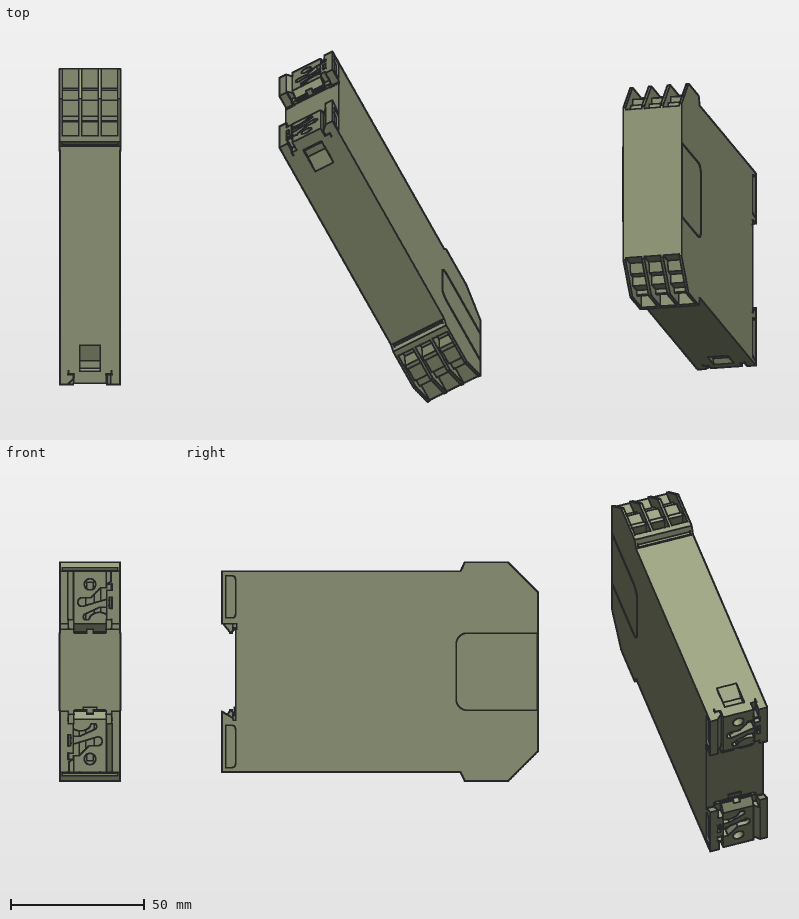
import cadquery as cq
import math

LABEL_WIDTH = 22.86
BODY_WIDTH = 22.5
DEPTH = 118.33
HEIGHT = 81.96
BACK_Y = DEPTH / 2
RAIL_Y = -DEPTH / 2
TOP_Z = HEIGHT / 2
HALF_BODY = BODY_WIDTH / 2

BODY_TOP_Z = 37.6
HEAD_FOOT_Y = 30.1
HEAD_TOP_Y = 31.7
HEAD_CHAMFER = 11.2

CHANNEL_Y = -54.1
UPPER_JAW_Z = 17.9
UPPER_JAW_NOTCH_Z = 15.9
UPPER_JAW_NOTCH_Y = -53.7
LOWER_LIP_Z = -14.9
LOWER_JAW_Z = -17.5
LOWER_JAW_Y = -54.9
LOWER_JAW_STEP = 0.6

LABEL_HEIGHT = 28.9
LABEL_FRONT_Y = 28.5
LABEL_BACK_Y = 58.9
LABEL_CORNER = 4.2

CELL_WIDTH = 6.2
CELL_PITCH = 7.25
CELL_FRONT_Y = 34.1
CELL_FLOOR_Z = 29.0
LEDGE_FRONT_Y = 47.3
LEDGE_BACK_Y = 51.1
LEDGE_FOOT_Y = 51.9
LEDGE_Z = 33.0
BRIDGE_FRONT_Y = 39.3
BRIDGE_SLOPE_Y = 39.7
BRIDGE_BACK_Y = 41.3
BRIDGE_Z = 38.2
VALLEY_Z = 36.5

SLIT_WIDTH = 20.6
SLIT_BOTTOM_Z = 37.95
SLIT_TOP_Z = 38.9
SLIT_DEPTH_Y = 32.2

POCKET_WIDTH = 7.7
POCKET_BACK_Y = -44.4
POCKET_SLOPE_END_Y = -50.2
POCKET_FLOOR_END_Y = -53.0
POCKET_FRONT_Y = -54.1
POCKET_DEPTH = 2.0

GRIP_BACK_Y = -54.1
GRIP_FRONT_Y = -57.8
GRIP_BOTTOM_Z = 20.1
GRIP_TOP_Z = 35.9
GRIP_CORNER = 1.3
GRIP_DEPTH = 1.0

FOOT_HALF = 6.0
FOOT_FACE_Y = -58.7
GAP_OUTER_X = 8.4
GAP_FLOOR_Y = -55.4
SLIT_GAP = 0.3
FOOT_SLIT = 0.2
FOOT_SLIT_END_Y = -53.9
GAP_END_Z = 19.5
FOOT_TIP_Z = 14.3
FOOT_NOSE_Z = 14.9
FOOT_NOSE_FRONT_Y = -56.3
FOOT_NOSE_BACK_Y = -55.4
FOOT_ROOT_Y = -54.3
FOOT_ROOT_Z = 16.0
TIP_NOTCH_WIDTH = 2.4
TIP_NOTCH_TOP_Z = 15.8
TIP_CORNER = 0.4
SHOULDER_HALF = 8.2
SHOULDER_Y = -55.2
SHOULDER_CORNER = 0.6

HOLE_Z = 32.7
HOLE_RADIUS = 2.1
HOLE_DEPTH = 4.0
KEY_WIDTH = 2.4
KEY_DEPTH = 1.0
KEY_TOP_Z = 33.4
SLOT_DEPTH = 3.5
SLOT_STEP = 0.5
SLOT_STEP_XS = (-FOOT_HALF, -1.6, 1.6, 4.1)
BIG_END_X = -2.9
BIG_END_Z = 26.05
BIG_END_RADIUS = 1.65
BIG_FLARE_START_X = 0.3
BIG_FLARE_END_X = 4.1
BIG_MOUTH_TOP_Z = 31.5
BIG_MOUTH_BOTTOM_Z = 27.1
SMALL_END_X = -1.3
SMALL_END_Z = 20.5
SMALL_END_RADIUS = 1.2
SMALL_BEND_X = 3.6
SMALL_BEND_TOP_Z = 24.1
SMALL_BEND_BOTTOM_Z = 22.2
SMALL_MOUTH_BOTTOM_Z = 21.4
SLOT_MOUTH_X = 6.2
LOBE_RADIUS = 1.0
UPPER_SEAT = (SLOT_MOUTH_X, 30.5, 32.8)
LOWER_SEAT = (7.2, 23.7, 27.8)
RELIEF_X = 7.8
RELIEF_Z = 33.8
RELIEF_TIP_Z = 32.5

TAB_WIDTH = 4.9
TAB_BOTTOM_Z = -15.5
TAB_TOP_Z = -13.4
TAB_Y = -54.5


def box(x0, x1, y0, y1, z0, z1):
    """Box between two opposite corners."""
    return cq.Workplane("XY").box(x1 - x0, y1 - y0, z1 - z0, centered=False).translate((x0, y0, z0))


def side_prism(points, width):
    """Closed (Y, Z) outline extruded symmetrically about X = 0."""
    return cq.Workplane("YZ").polyline(points).close().extrude(width / 2, both=True)


def foot_face():
    """Sketch plane on the foot face, local axes along +X and +Z; negative extrusion cuts inward."""
    return cq.Workplane("XZ", origin=(0, FOOT_FACE_Y, 0))


def half_turn(shape):
    """Turn a feature from the upper half to the lower half."""
    return shape.rotate((0, 0, 0), (0, 1, 0), 180)


def housing():
    head_side_z = TOP_Z - HEAD_CHAMFER
    chamfer_y = BACK_Y - HEAD_CHAMFER
    outline = [
        (RAIL_Y, BODY_TOP_Z),
        (HEAD_FOOT_Y, BODY_TOP_Z),
        (HEAD_TOP_Y, TOP_Z),
        (chamfer_y, TOP_Z),
        (BACK_Y, head_side_z),
        (BACK_Y, -head_side_z),
        (chamfer_y, -TOP_Z),
        (HEAD_TOP_Y, -TOP_Z),
        (HEAD_FOOT_Y, -BODY_TOP_Z),
        (RAIL_Y, -BODY_TOP_Z),
        (RAIL_Y, LOWER_LIP_Z),
        (LOWER_JAW_Y, LOWER_JAW_Z),
        (LOWER_JAW_Y, LOWER_JAW_Z - LOWER_JAW_STEP),
        (CHANNEL_Y, LOWER_JAW_Z - LOWER_JAW_STEP),
        (CHANNEL_Y, UPPER_JAW_NOTCH_Z),
        (UPPER_JAW_NOTCH_Y, UPPER_JAW_NOTCH_Z),
        (UPPER_JAW_NOTCH_Y, UPPER_JAW_Z),
        (RAIL_Y, UPPER_JAW_Z),
    ]
    return side_prism(outline, BODY_WIDTH)


def label_plates():
    half = LABEL_HEIGHT / 2
    plate = box(-LABEL_WIDTH / 2, LABEL_WIDTH / 2, LABEL_FRONT_Y, LABEL_BACK_Y, -half, half)
    return plate.edges("|X and <Y").fillet(LABEL_CORNER)


def terminal_cell():
    """Cell void: stepped floor with a ledge and a clamp bridge, open upward and backward."""
    floor = [
        (CELL_FRONT_Y, TOP_Z),
        (CELL_FRONT_Y, CELL_FLOOR_Z),
        (BRIDGE_FRONT_Y, CELL_FLOOR_Z),
        (BRIDGE_SLOPE_Y, BRIDGE_Z),
        (BRIDGE_BACK_Y, BRIDGE_Z),
        (BRIDGE_BACK_Y, VALLEY_Z),
        (LEDGE_FRONT_Y, VALLEY_Z),
        (LEDGE_FRONT_Y, LEDGE_Z),
        (LEDGE_BACK_Y, LEDGE_Z),
        (LEDGE_FOOT_Y, CELL_FLOOR_Z),
        (BACK_Y, CELL_FLOOR_Z),
        (BACK_Y, TOP_Z),
    ]
    return side_prism(floor, CELL_WIDTH)


def head_cuts():
    half = SLIT_WIDTH / 2
    cuts = box(-half, half, HEAD_FOOT_Y, SLIT_DEPTH_Y, SLIT_BOTTOM_Z, SLIT_TOP_Z)
    for column in (-1, 0, 1):
        cuts = cuts.add(terminal_cell().translate((column * CELL_PITCH, 0, 0)))
    return cuts.combine()


def release_pocket():
    floor_z = BODY_TOP_Z - POCKET_DEPTH
    outline = [
        (POCKET_BACK_Y, BODY_TOP_Z),
        (POCKET_SLOPE_END_Y, floor_z),
        (POCKET_FLOOR_END_Y, floor_z),
        (POCKET_FRONT_Y, BODY_TOP_Z),
    ]
    return side_prism(outline, POCKET_WIDTH)


def grip_recesses():
    cuts = cq.Workplane("XY")
    for inner_x in (-HALF_BODY, HALF_BODY - GRIP_DEPTH):
        recess = box(inner_x, inner_x + GRIP_DEPTH, GRIP_FRONT_Y, GRIP_BACK_Y, GRIP_BOTTOM_Z, GRIP_TOP_Z)
        cuts = cuts.add(recess.edges("|X and >Y").fillet(GRIP_CORNER))
    return cuts.combine()


def foot_nose():
    """Hook below the foot face with its notched tip, and the shoulder plate behind it."""
    outline = [
        (FOOT_FACE_Y, UPPER_JAW_Z),
        (FOOT_NOSE_FRONT_Y, FOOT_NOSE_Z),
        (FOOT_NOSE_FRONT_Y, FOOT_TIP_Z),
        (FOOT_NOSE_BACK_Y, FOOT_TIP_Z),
        (FOOT_NOSE_BACK_Y, FOOT_NOSE_Z),
        (FOOT_ROOT_Y, FOOT_ROOT_Z),
        (FOOT_ROOT_Y, GAP_END_Z),
        (FOOT_FACE_Y, GAP_END_Z),
    ]
    nose = side_prism(outline, 2 * FOOT_HALF).edges("|Y and <Z").chamfer(TIP_CORNER)
    half_notch = TIP_NOTCH_WIDTH / 2
    nose = nose.cut(box(-half_notch, half_notch, FOOT_FACE_Y, FOOT_ROOT_Y, FOOT_TIP_Z, TIP_NOTCH_TOP_Z))
    shoulder = box(-SHOULDER_HALF, SHOULDER_HALF, SHOULDER_Y, UPPER_JAW_NOTCH_Y, UPPER_JAW_NOTCH_Z, GAP_END_Z)
    shoulder = shoulder.edges("|Y and <Z").chamfer(SHOULDER_CORNER)
    return nose.union(shoulder)


def big_slot():
    """Wide spring slot: round end, flaring upward toward its mouth at the foot edge."""
    end_top_z = BIG_END_Z + BIG_END_RADIUS
    return (
        foot_face()
        .moveTo(BIG_END_X, end_top_z)
        .lineTo(BIG_FLARE_START_X, end_top_z)
        .lineTo(BIG_FLARE_END_X, BIG_MOUTH_TOP_Z)
        .lineTo(SLOT_MOUTH_X, BIG_MOUTH_TOP_Z)
        .lineTo(SLOT_MOUTH_X, BIG_MOUTH_BOTTOM_Z)
        .lineTo(BIG_END_X, BIG_END_Z - BIG_END_RADIUS)
        .threePointArc((BIG_END_X - BIG_END_RADIUS, BIG_END_Z), (BIG_END_X, end_top_z))
        .close()
        .extrude(-SLOT_DEPTH)
    )


def small_slot():
    """Narrow spring slot: bulb end, rising neck and a mouth at the foot edge."""
    bulb = foot_face().center(SMALL_END_X, SMALL_END_Z).circle(SMALL_END_RADIUS).extrude(-SLOT_DEPTH)
    neck = (
        foot_face()
        .moveTo(SMALL_END_X - SMALL_END_RADIUS / 2, SMALL_END_Z + SMALL_END_RADIUS * math.sqrt(3) / 2)
        .lineTo(SMALL_BEND_X, SMALL_BEND_TOP_Z)
        .lineTo(SLOT_MOUTH_X, SMALL_BEND_TOP_Z)
        .lineTo(SLOT_MOUTH_X, SMALL_MOUTH_BOTTOM_Z)
        .threePointArc((SMALL_BEND_X, SMALL_BEND_BOTTOM_Z), (SMALL_END_X + SMALL_END_RADIUS, SMALL_END_Z))
        .close()
        .extrude(-SLOT_DEPTH)
    )
    return bulb.union(neck)


def spring_slots():
    """Both spring slots, their shared floor stepping deeper toward the mouth."""
    steps = cq.Workplane("XY")
    for level, start_x in enumerate(SLOT_STEP_XS):
        floor_y = FOOT_FACE_Y + SLOT_DEPTH - (len(SLOT_STEP_XS) - 1 - level) * SLOT_STEP
        steps = steps.add(box(start_x, SLOT_MOUTH_X, FOOT_FACE_Y, floor_y, 0, BODY_TOP_Z))
    return big_slot().union(small_slot()).intersect(steps.combine())


def screw_hole():
    """Round hole with a deeper flat-sided pocket in its floor."""
    floor_y = FOOT_FACE_Y + HOLE_DEPTH
    key = box(
        -KEY_WIDTH / 2,
        KEY_WIDTH / 2,
        floor_y,
        floor_y + KEY_DEPTH,
        HOLE_Z - HOLE_RADIUS,
        KEY_TOP_Z,
    )
    center = foot_face().center(0, HOLE_Z)
    hole = center.circle(HOLE_RADIUS).extrude(-HOLE_DEPTH)
    deep_bore = center.circle(HOLE_RADIUS).extrude(-HOLE_DEPTH - KEY_DEPTH)
    return hole.union(deep_bore.intersect(key))


def clip_seats():
    """Two rectangular seats at the wall, the lower one with a rounded inner lobe."""
    cuts = cq.Workplane("XY")
    for inner_x, bottom_z, top_z in (UPPER_SEAT, LOWER_SEAT):
        cuts = cuts.add(box(inner_x, GAP_OUTER_X, RAIL_Y, GAP_FLOOR_Y, bottom_z, top_z))
    lobe_x, bottom_z, top_z = LOWER_SEAT
    lobe_center = foot_face().center(lobe_x, (bottom_z + top_z) / 2)
    lobe = lobe_center.circle(LOBE_RADIUS).extrude(FOOT_FACE_Y - GAP_FLOOR_Y)
    return cuts.combine().union(lobe)


def open_relief():
    """Relief between the foot and the far wall, open at the end face and tapering to a point."""
    outline = [
        (FOOT_HALF, BODY_TOP_Z),
        (RELIEF_X, BODY_TOP_Z),
        (RELIEF_X, RELIEF_Z),
        (FOOT_HALF, RELIEF_TIP_Z),
    ]
    relief = cq.Workplane("XZ", origin=(0, RAIL_Y, 0)).polyline(outline).close()
    return relief.extrude(RAIL_Y - GAP_FLOOR_Y)


def foot_gap():
    """Gap between the foot and the near wall, whose inner edge slopes down to a narrow slit."""
    slit_x = -FOOT_HALF - SLIT_GAP
    slope_y = RAIL_Y + GAP_OUTER_X + slit_x
    outline = [
        (-GAP_OUTER_X, RAIL_Y),
        (slit_x, slope_y),
        (slit_x, GAP_FLOOR_Y),
        (-FOOT_HALF, GAP_FLOOR_Y),
        (-FOOT_HALF, RAIL_Y),
    ]
    gap = cq.Workplane("XY", origin=(0, 0, GAP_END_Z)).polyline(outline).close()
    return gap.extrude(BODY_TOP_Z - GAP_END_Z)


def foot_slits():
    """L-shaped slits that part the foot from the housing on both sides."""
    cuts = cq.Workplane("XY")
    for side in (-1, 1):
        outline = [
            (side * FOOT_HALF, GAP_FLOOR_Y),
            (side * SHOULDER_HALF, GAP_FLOOR_Y),
            (side * SHOULDER_HALF, FOOT_SLIT_END_Y),
            (side * (SHOULDER_HALF - FOOT_SLIT), FOOT_SLIT_END_Y),
            (side * (SHOULDER_HALF - FOOT_SLIT), GAP_FLOOR_Y + FOOT_SLIT),
            (side * FOOT_HALF, GAP_FLOOR_Y + FOOT_SLIT),
        ]
        slit = cq.Workplane("XY", origin=(0, 0, GAP_END_Z)).polyline(outline).close()
        cuts = cuts.add(slit.extrude(BODY_TOP_Z - GAP_END_Z))
    return cuts.combine()


def foot_cuts():
    """All voids of the upper rail foot."""
    sunk_face = box(-FOOT_HALF, SLOT_MOUTH_X, RAIL_Y, FOOT_FACE_Y, 0, BODY_TOP_Z)
    below_gap = box(-SHOULDER_HALF, SHOULDER_HALF, RAIL_Y, SHOULDER_Y, 0, GAP_END_Z)
    cuts = sunk_face.union(below_gap)
    for cut in (foot_gap(), foot_slits(), open_relief(), screw_hole(), spring_slots(), clip_seats()):
        cuts = cuts.union(cut)
    return cuts


def latch_tab():
    half = TAB_WIDTH / 2
    return box(-half, half, TAB_Y, CHANNEL_Y, TAB_BOTTOM_Z, TAB_TOP_Z)


result = housing()
for upper_cut in (head_cuts(), release_pocket(), grip_recesses(), foot_cuts()):
    result = result.cut(upper_cut).cut(half_turn(upper_cut))
result = result.union(label_plates()).union(foot_nose()).union(half_turn(foot_nose())).union(latch_tab())